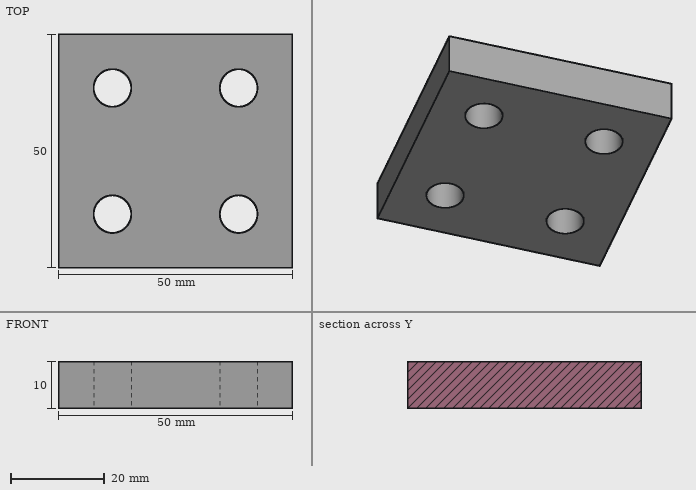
import cadquery as cq

plate_side = 50.0
plate_thickness = 10.0

hole_diameter = 8.0
hole_spacing = 27.0


def make_plate():
    """Square plate centred on the origin in all three axes."""
    return cq.Workplane("XY").box(plate_side, plate_side, plate_thickness)


def drill_holes(plate):
    """Drill the 2 x 2 hole pattern right through the plate from its top face."""
    return (
        plate.faces(">Z")
        .workplane()
        .rarray(hole_spacing, hole_spacing, 2, 2)
        .hole(hole_diameter)
    )


result = drill_holes(make_plate())